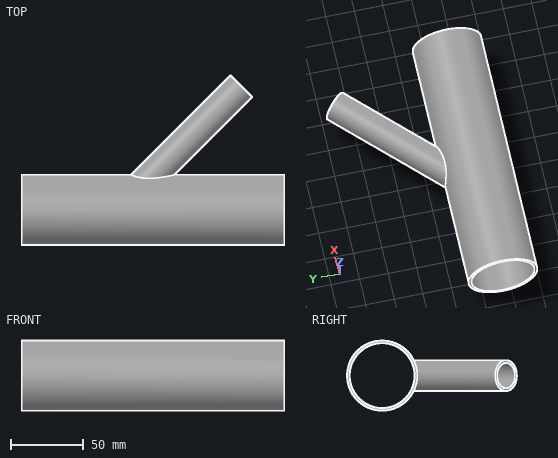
import cadquery as cq
import math

main_length = 180.0
main_outer_diameter = 48.2
main_inner_diameter = 44.3

branch_outer_diameter = 21.2
branch_inner_diameter = 17.3
branch_length = 120.0
branch_angle = 45.0
branch_start_x = 65.7


def main_cylinder(diameter):
    """Cylinder as long as the main tube, starting at X = 0."""
    return cq.Workplane("YZ").circle(diameter / 2).extrude(main_length)


def branch_cylinder(diameter):
    """Cylinder from the crossing of the axes to the end of the branch."""
    angle = math.radians(branch_angle)
    branch_plane = cq.Plane(
        origin=(branch_start_x, 0, 0),
        xDir=(0, 0, 1),
        normal=(math.cos(angle), math.sin(angle), 0),
    )
    return cq.Workplane(branch_plane).circle(diameter / 2).extrude(branch_length)


outside = main_cylinder(main_outer_diameter).union(branch_cylinder(branch_outer_diameter))
result = outside.cut(main_cylinder(main_inner_diameter)).cut(branch_cylinder(branch_inner_diameter))